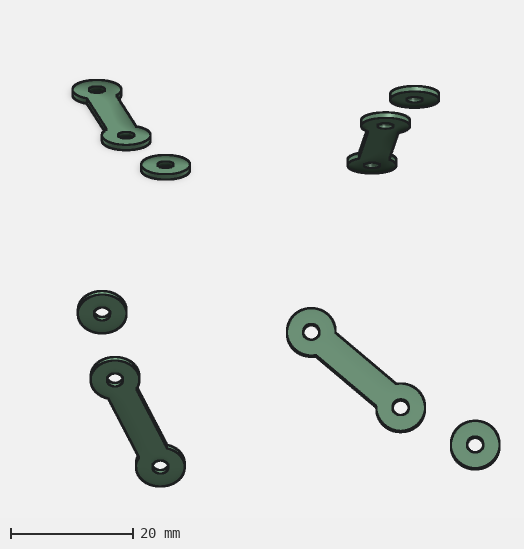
import cadquery as cq
import math

thickness = 1.0
eye_diameter = 8.0
hole_diameter = 2.65
bar_width = 5.0
overall_length = 40.9
overall_depth = 10.3

eye_run = 19.35
eye_drop = 1.4
second_eye = (eye_run, -eye_drop)
washer_center = (overall_length - eye_diameter, overall_depth - eye_diameter - eye_drop)


def disc(center, diameter):
    """Flat round plate standing on the XY plane."""
    return cq.Workplane("XY").center(*center).circle(diameter / 2).extrude(thickness)


def make_link():
    """Straight bar joining two eyes, with a through hole in each eye."""
    eyes = [(0, 0), second_eye]
    eye_distance = math.hypot(eye_run, eye_drop)
    tilt = -math.degrees(math.atan2(eye_drop, eye_run))

    link = (
        cq.Workplane("XY")
        .rect(eye_distance, bar_width)
        .extrude(thickness)
        .rotate((0, 0, 0), (0, 0, 1), tilt)
        .translate((eye_run / 2, -eye_drop / 2, 0))
    )
    for center in eyes:
        link = link.union(disc(center, eye_diameter))
    for center in eyes:
        link = link.cut(disc(center, hole_diameter))
    return link


def make_washer():
    """Separate round washer with the same diameters as the link's eyes."""
    return disc(washer_center, eye_diameter).cut(disc(washer_center, hole_diameter))


link = make_link()
washer = make_washer()

result = cq.Compound.makeCompound([link.solids().val(), washer.solids().val()])